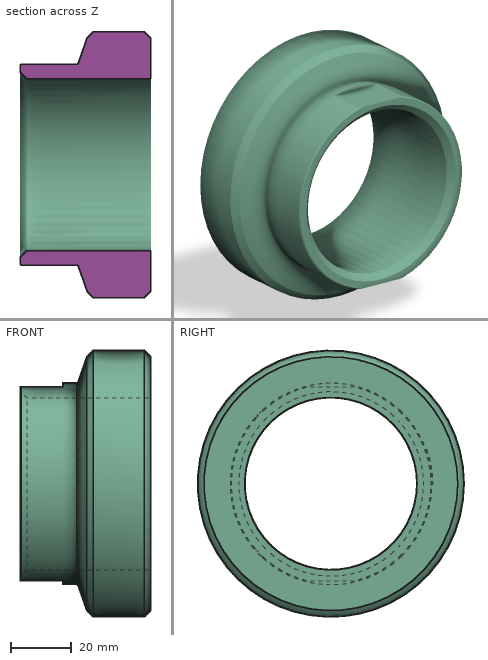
import cadquery as cq

total_length = 43.0
collar_length = 19.0
cone_end = 21.95

flange_radius = 87.8 / 2
collar_radius = 66.5 / 2
bore_radius = 56.6 / 2

flange_chamfer = 2.1
collar_chamfer = 0.35
bore_chamfer = 2.1
root_fillet = 0.4

flat_height = 64.0 / 2
flat_length = 14.05


def make_body():
    """Revolve the flange and collar around the X axis and round the root of the collar."""
    shoulder_radius = flange_radius - flange_chamfer
    profile = [
        (0, bore_radius + bore_chamfer),
        (0, collar_radius - collar_chamfer),
        (collar_chamfer, collar_radius),
        (collar_length, collar_radius),
        (cone_end, shoulder_radius),
        (cone_end + flange_chamfer, flange_radius),
        (total_length - flange_chamfer, flange_radius),
        (total_length, shoulder_radius),
        (total_length, bore_radius),
        (bore_chamfer, bore_radius),
    ]
    body = cq.Workplane("XY").polyline(profile).close().revolve(360, (0, 0, 0), (1, 0, 0))
    root_edge = cq.selectors.BoxSelector(
        (collar_length - root_fillet, -flange_radius, -flange_radius),
        (collar_length + root_fillet, flange_radius, flange_radius),
    )
    return body.edges("%CIRCLE").edges(root_edge).fillet(root_fillet)


def cut_flats(body):
    """Cut a flat on the top and the bottom of the collar, open at its free end."""
    cutter_height = collar_radius
    for side in (1, -1):
        cutter = cq.Workplane("XY").box(
            flat_length, 2 * collar_radius, cutter_height, centered=(False, True, True)
        ).translate((0, 0, side * (flat_height + cutter_height / 2)))
        body = body.cut(cutter)
    return body


result = cut_flats(make_body())